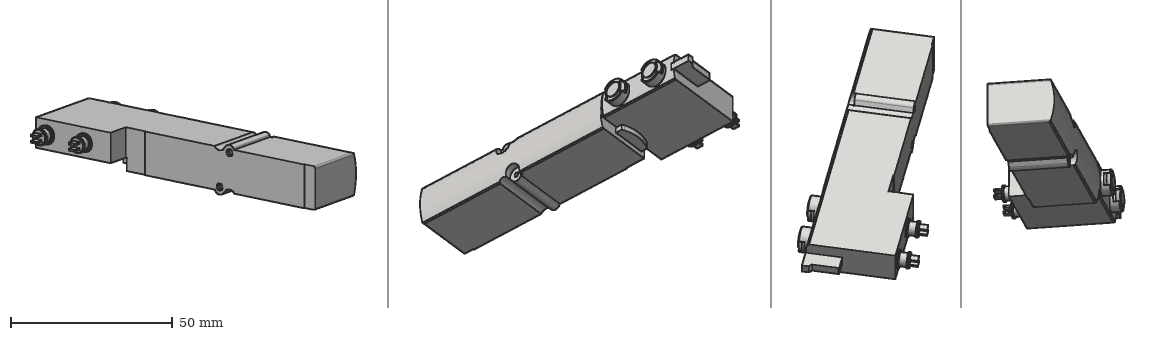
import cadquery as cq
import math


total_length = 108.5
total_width = 38.19
total_height = 16.7
top_z = 7.05

head_left = 6.0
head_right = 35.0
head_height = 9.85
head_mid_z = top_z - head_height / 2
head_crown_y = 28.35
back_edge_y = 27.8
bevel_width = 0.6
bevel_drop = 0.25

foot_left = 35.3
main_left = 42.5
cap_left = 104.5
main_front_y = 7.55
section_front_y = 7.85
body_crown_y = 28.95
end_fillet = 0.6

hole_x = 75.45
hole_z = 5.85
groove_x = 71.6
groove_radius = 4.5 / 2
groove_depth = 1.05
groove_center_z = top_z - groove_depth + groove_radius
groove_end_offset = 1.25
ridge_crown_z = total_height / 2
ridge_radius = 3.9 / 2
ridge_half_width = 1.48
ridge_foot_offset = 1.8
hole_mouth_diameter = 2.3
hole_mouth_depth = 1.0
hole_diameter = 1.6
counterbore_diameter = 5.3
counterbore_floor_y = 26.2

tab_thickness = 2.6
tab_front_y = 16.75
tab_lip_depth = 1.0
tab_lip_y = 26.2
tab_slope = 0.9
tab_corner = 0.25

clip_left = 31.5
clip_top_z = -3.1
clip_bottom_z = -5.1
clip_front_y = 9.2
clip_back_y = 21.4
clip_bulge = 1.1
clip_corner_x = 0.35
clip_corner_y = 0.75

station_count = 2
pitch = 14.7
pin_x = 10.1
collar_diameter = 6.1
collar_length = 0.7
neck_diameter = 4.5
flange_diameter = 5.3
flange_start = 3.15
flange_length = 0.75
rim_chamfer = 0.25
blade_width = 2.3
blade_thickness = 0.65
blade_offset = 0.98
pin_length = 6.5

button_x = 13.3
button_diameter = 8.1
button_disc_diameter = 5.3
button_disc_height = 0.3
button_top_y = total_width - pin_length
grip_width = 4.0
grip_slope_run = 0.9
grip_slope_end = 1.2
grip_groove_end = 2.05
grip_groove_depth = 0.25
grip_ridge_inset = 0.08

EMBED = 1.0


def box(x0, x1, y0, y1, z0, z1):
    return cq.Workplane("XY").box(x1 - x0, y1 - y0, z1 - z0, centered=False).translate((x0, y0, z0))


def disc(x, z, diameter, y0, y1):
    """Cylinder along Y between y0 and y1."""
    plane = cq.Workplane("XZ", origin=(x, y0, z))
    return plane.circle(diameter / 2).extrude(y0 - y1)


def bulged_block(x0, x1, front_y, crown_y, z0, z1):
    """Block along X whose back face is a shallow arc between two narrow bevels."""
    bevel_start_y = back_edge_y - bevel_width
    profile = (
        cq.Workplane("YZ", origin=(x0, 0, 0))
        .moveTo(front_y, z0)
        .lineTo(bevel_start_y, z0)
        .lineTo(back_edge_y, z0 + bevel_drop)
        .threePointArc((crown_y, (z0 + z1) / 2), (back_edge_y, z1 - bevel_drop))
        .lineTo(bevel_start_y, z1)
        .lineTo(front_y, z1)
        .close()
    )
    return profile.extrude(x1 - x0)


def make_head():
    return bulged_block(head_left, head_right, 0, head_crown_y, top_z - head_height, top_z)


def make_body():
    body = bulged_block(head_right, total_length, main_front_y, body_crown_y, -top_z, top_z)
    body = body.edges("|Y").edges(">X").fillet(end_fillet)
    for x0, x1 in ((head_right, main_left), (cap_left, total_length)):
        body = body.cut(box(x0, x1, main_front_y, section_front_y, -top_z, top_z))
    step = box(head_right, foot_left, 0, body_crown_y, -top_z, top_z - head_height)
    return body.cut(step)


def make_ridge():
    """Round-topped ridge over the screw hole, with one flank in the groove and one on the top face."""
    groove_end_drop = math.sqrt(groove_radius**2 - groove_end_offset**2)
    groove_end = (groove_x + groove_end_offset, groove_center_z - groove_end_drop)
    crown_sag = ridge_radius - math.sqrt(ridge_radius**2 - ridge_half_width**2)
    shoulder_z = ridge_crown_z - crown_sag
    foot_x = hole_x + ridge_foot_offset
    profile = (
        cq.Workplane("XZ", origin=(0, main_front_y, 0))
        .moveTo(*groove_end)
        .lineTo(hole_x - ridge_half_width, shoulder_z)
        .threePointArc((hole_x, ridge_crown_z), (hole_x + ridge_half_width, shoulder_z))
        .lineTo(foot_x, top_z)
        .lineTo(foot_x, groove_end[1])
        .close()
    )
    return profile.extrude(main_front_y - counterbore_floor_y)


def add_screw_channel(body):
    """Groove, ridge and counterbored screw hole along Y on the top of the body."""
    body = body.cut(disc(groove_x, groove_center_z, 2 * groove_radius, 0, body_crown_y))
    body = body.union(make_ridge())
    body = body.cut(disc(hole_x, hole_z, hole_diameter, 0, body_crown_y))
    body = body.cut(disc(hole_x, hole_z, hole_mouth_diameter, 0, main_front_y + hole_mouth_depth))
    return body.cut(disc(hole_x, hole_z, counterbore_diameter, counterbore_floor_y, body_crown_y))


def turn_over(body):
    """Half turn about the Y-direction axis midway between hole and groove."""
    mid_x = (hole_x + groove_x) / 2
    return body.rotate((mid_x, 0, 0), (mid_x, 1, 0), 180)


def add_screw_channels(body):
    body = add_screw_channel(body)
    body = turn_over(body)
    body = add_screw_channel(body)
    return turn_over(body)


def make_tab():
    outline = [
        (0, head_crown_y),
        (0, tab_lip_y),
        (tab_lip_depth, tab_lip_y - tab_slope),
        (tab_lip_depth, tab_front_y + tab_corner),
        (tab_lip_depth + tab_corner, tab_front_y),
        (head_left + EMBED, tab_front_y),
        (head_left + EMBED, head_crown_y),
    ]
    plane = cq.Workplane("XY", origin=(0, 0, head_mid_z - tab_thickness / 2))
    return plane.polyline(outline).close().extrude(tab_thickness)


def make_clip():
    """Flat catch projecting from the foot of the body, with small cut corners and a bowed end."""
    bow_x = clip_left + clip_bulge
    corner_x = bow_x + clip_corner_x
    mid_y = (clip_front_y + clip_back_y) / 2
    outline = (
        cq.Workplane("XY", origin=(0, 0, clip_bottom_z))
        .moveTo(foot_left + EMBED, clip_front_y)
        .lineTo(corner_x, clip_front_y)
        .lineTo(bow_x, clip_front_y + clip_corner_y)
        .threePointArc((clip_left, mid_y), (bow_x, clip_back_y - clip_corner_y))
        .lineTo(corner_x, clip_back_y)
        .lineTo(foot_left + EMBED, clip_back_y)
        .close()
    )
    return outline.extrude(clip_top_z - clip_bottom_z)


def make_pin(x):
    """Stepped round connector on the head front, ending in two flat blades."""
    flange_end = flange_start + flange_length
    collar = disc(x, head_mid_z, collar_diameter, -collar_length, EMBED)
    pin = collar.faces("<Y").edges().chamfer(rim_chamfer)
    pin = pin.union(disc(x, head_mid_z, neck_diameter, -flange_end, EMBED))
    flange = disc(x, head_mid_z, flange_diameter, -flange_end, -flange_start)
    pin = pin.union(flange.faces("<Y").edges().chamfer(rim_chamfer))
    half_width = blade_width / 2
    for side in (-1, 1):
        z0 = head_mid_z + side * blade_offset - blade_thickness / 2
        blade = box(x - half_width, x + half_width, -pin_length, -flange_start, z0, z0 + blade_thickness)
        pin = pin.union(blade)
    return pin


def make_grips(x, shoulder_y):
    """Turned recess around the button, kept only in a band across its two X sides."""
    radius = button_diameter / 2
    outer_radius = radius + EMBED
    slope_end_y = shoulder_y - grip_slope_end
    groove_end_y = shoulder_y - grip_groove_end
    floor_radius = radius - grip_groove_depth
    outline = [
        (outer_radius, shoulder_y),
        (radius - grip_slope_run, shoulder_y),
        (radius - grip_ridge_inset, slope_end_y),
        (floor_radius, slope_end_y),
        (floor_radius, groove_end_y),
        (outer_radius, groove_end_y),
    ]
    ring = cq.Workplane("XY").polyline(outline).close().revolve(360, (0, 0, 0), (0, 1, 0))
    half_width = grip_width / 2
    band = box(-outer_radius, outer_radius, groove_end_y, shoulder_y, -half_width, half_width)
    return ring.intersect(band).translate((x, 0, head_mid_z))


def make_button(x):
    """Round release button with a low disc on its end and a finger grip on its two X sides."""
    shoulder_y = button_top_y - button_disc_height
    button = disc(x, head_mid_z, button_diameter, back_edge_y - EMBED, shoulder_y)
    button = button.faces(">Y").edges().chamfer(rim_chamfer)
    button = button.cut(make_grips(x, shoulder_y))
    return button.union(disc(x, head_mid_z, button_disc_diameter, shoulder_y - EMBED, button_top_y))


result = make_head().union(add_screw_channels(make_body()))
result = result.union(make_tab()).union(make_clip())
for station in range(station_count):
    result = result.union(make_pin(pin_x + station * pitch))
    result = result.union(make_button(button_x + station * pitch))